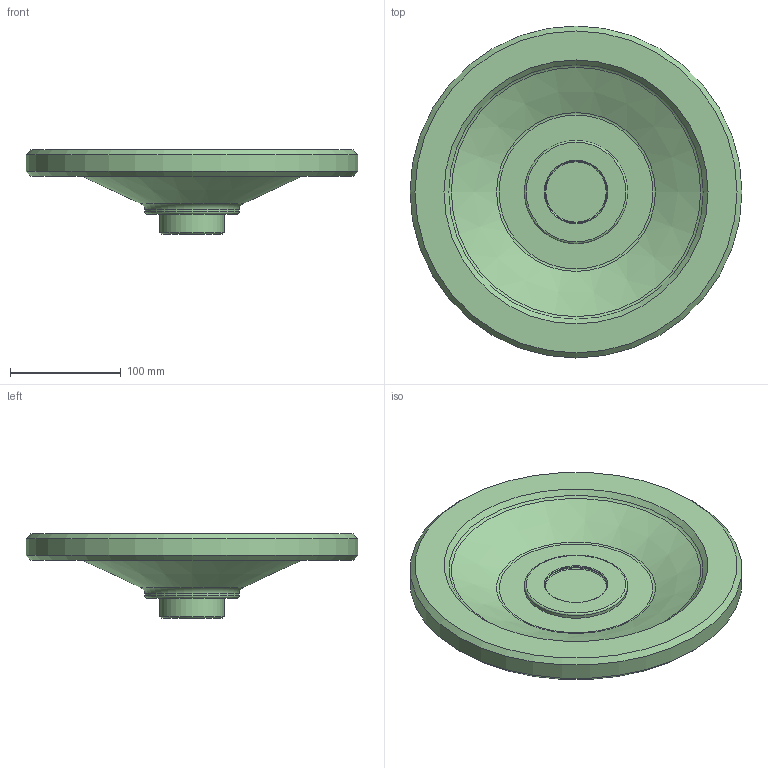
import cadquery as cq
import math

rim_radius = 150.0
rim_thickness = 23.8
rim_chamfer = 4.5

dish_slope = math.radians(25.0)
mouth_radius = 119.3
mouth_slope = math.radians(45.0)
mouth_blend = 8.25
floor_radius = 70.7
floor_depth = 25.5
floor_blend = 5.25
under_cone_radius = 99.3

boss_radius = 93.4 / 2
boss_height = 4.6
boss_round = 1.7
recess_radius = 56.1 / 2
recess_chamfer = 0.7
recess_depth = 2.5
recess_blend = 0.8

collar_radius = 85.16 / 2
collar_bottom = 58.3
collar_blend = 6.0
collar_round = 2.5
stub_radius = 58.0 / 2
stub_bottom = 76.0
stub_chamfer = 1.2

corner_offset = (mouth_radius - floor_radius) * math.tan(dish_slope) - floor_depth
cone_corner_radius = mouth_radius + corner_offset / (math.tan(mouth_slope) - math.tan(dish_slope))
cone_corner_depth = (mouth_radius - cone_corner_radius) * math.tan(mouth_slope)
collar_top = rim_thickness + (under_cone_radius - collar_radius) * math.tan(dish_slope)


def blend_arc(sketch, corner, start_angle, end_angle, radius):
    """Round the corner between a leg at start_angle and a leg at end_angle."""
    half_angle = (end_angle - start_angle) / 2
    middle_angle = start_angle + half_angle
    setback = abs(radius / math.tan(half_angle))
    middle_reach = abs(radius / math.sin(half_angle)) - radius

    def away(angle, distance):
        return corner[0] + distance * math.cos(angle), corner[1] + distance * math.sin(angle)

    start = away(start_angle, setback)
    return sketch.lineTo(*start).threePointArc(away(middle_angle, middle_reach), away(end_angle, setback))


def add_stub(section):
    """Stub from the axis up to the underside of the collar."""
    return (
        section.lineTo(stub_radius - stub_chamfer, -stub_bottom)
        .lineTo(stub_radius, -stub_bottom + stub_chamfer)
        .lineTo(stub_radius, -collar_bottom)
    )


def add_collar(section):
    """Collar with a rounded lower edge, blending into the cone above it."""
    section = blend_arc(section, (collar_radius, -collar_bottom), math.pi, math.pi / 2, collar_round)
    return blend_arc(section, (collar_radius, -collar_top), -math.pi / 2, dish_slope, collar_blend)


def add_rim(section):
    """Under cone up to the rim, then around the rim to the mouth of the dish."""
    return (
        section.lineTo(under_cone_radius, -rim_thickness)
        .lineTo(rim_radius - rim_chamfer, -rim_thickness)
        .lineTo(rim_radius, -rim_thickness + rim_chamfer)
        .lineTo(rim_radius, -rim_chamfer)
        .lineTo(rim_radius - rim_chamfer, 0)
        .lineTo(mouth_radius, 0)
    )


def add_dish(section):
    """Mouth, cone and flat floor of the dish, as far as the boss."""
    cone_corner = (cone_corner_radius, -cone_corner_depth)
    section = blend_arc(section, cone_corner, mouth_slope, math.pi + dish_slope, mouth_blend)
    section = blend_arc(section, (floor_radius, -floor_depth), dish_slope, math.pi, floor_blend)
    return section.lineTo(boss_radius, -floor_depth)


def add_boss(section):
    """Boss with a rounded edge and the recess in its top, back to the axis."""
    boss_top = -floor_depth + boss_height
    recess_floor = boss_top - recess_depth
    section = blend_arc(section, (boss_radius, boss_top), -math.pi / 2, -math.pi, boss_round)
    section = section.lineTo(recess_radius + recess_chamfer, boss_top)
    section = section.lineTo(recess_radius, boss_top - recess_chamfer)
    section = blend_arc(section, (recess_radius, recess_floor), math.pi / 2, math.pi, recess_blend)
    return section.lineTo(0, recess_floor)


half_section = cq.Workplane("XZ").moveTo(0, -stub_bottom)
for add_feature in (add_stub, add_collar, add_rim, add_dish, add_boss):
    half_section = add_feature(half_section)

result = half_section.close().revolve(360, (0, 0, 0), (0, 1, 0))